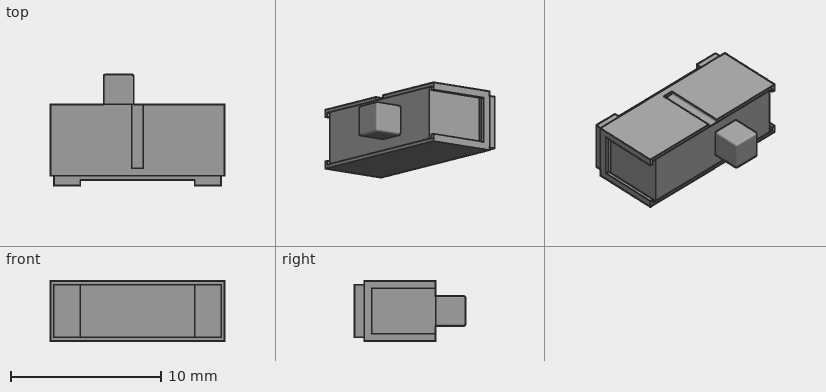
import cadquery as cq


SHELL_LENGTH = 11.6
SHELL_HEIGHT = 4.0
SHELL_DEPTH = 4.76
WALL = 0.24
FRONT_MARGIN = 0.5
WINDOW_HEIGHT = 3.0
GROOVE_WIDTH = 0.75
GROOVE_DEPTH = 0.22
GROOVE_RADIUS = 0.1

SIDE_GAP = 0.24
FRONT_PROJECTION = 0.65
FOOT_HEIGHT = 0.36
FOOT_WIDTH = 1.75

KNOB_SIZE = 2.01
KNOB_PROJECTION = 2.0
KNOB_X = -1.25
KNOB_RADIUS = 0.15

CORE_LENGTH = SHELL_LENGTH - 2 * WALL
CORE_HEIGHT = SHELL_HEIGHT - 2 * WALL
CUT_LENGTH = SHELL_DEPTH - FRONT_MARGIN


def block(length, height, front, rear, x=0, z=0):
    """Box centred on x and z, spanning front to rear along Y."""
    return cq.Workplane("XY").box(length, rear - front, height).translate((x, (front + rear) / 2, z))


def make_groove_cutter():
    """Groove volume with rounded lower long edges."""
    top = SHELL_HEIGHT / 2
    cutter = block(GROOVE_WIDTH, GROOVE_DEPTH, -CUT_LENGTH, 0, z=top - GROOVE_DEPTH / 2)
    return cutter.faces("<Z").edges("|Y").fillet(GROOVE_RADIUS)


def make_shell():
    outer = block(SHELL_LENGTH, SHELL_HEIGHT, -SHELL_DEPTH, 0)
    bore = block(CORE_LENGTH, CORE_HEIGHT, -SHELL_DEPTH, 0)
    windows = block(SHELL_LENGTH, WINDOW_HEIGHT, -CUT_LENGTH, 0)
    return outer.cut(bore).cut(windows).cut(make_groove_cutter())


def make_core():
    front = -SHELL_DEPTH - FRONT_PROJECTION
    body = block(CORE_LENGTH, CORE_HEIGHT, front, 0)
    relief_length = CORE_LENGTH - 2 * FOOT_WIDTH
    body = body.cut(block(relief_length, CORE_HEIGHT, front, front + FOOT_HEIGHT))
    for side in (-1, 1):
        gap_x = side * (CORE_LENGTH - SIDE_GAP) / 2
        body = body.cut(block(SIDE_GAP, CORE_HEIGHT, -CUT_LENGTH, 0, x=gap_x))
    return body


def make_knob():
    stem = block(KNOB_SIZE, KNOB_SIZE, 0, KNOB_PROJECTION, x=KNOB_X)
    return stem.edges("|Y or >Y").fillet(KNOB_RADIUS)


shell = make_shell()
core = make_core()
knob = make_knob()

result = cq.Compound.makeCompound([shell.val(), core.val(), knob.val()])